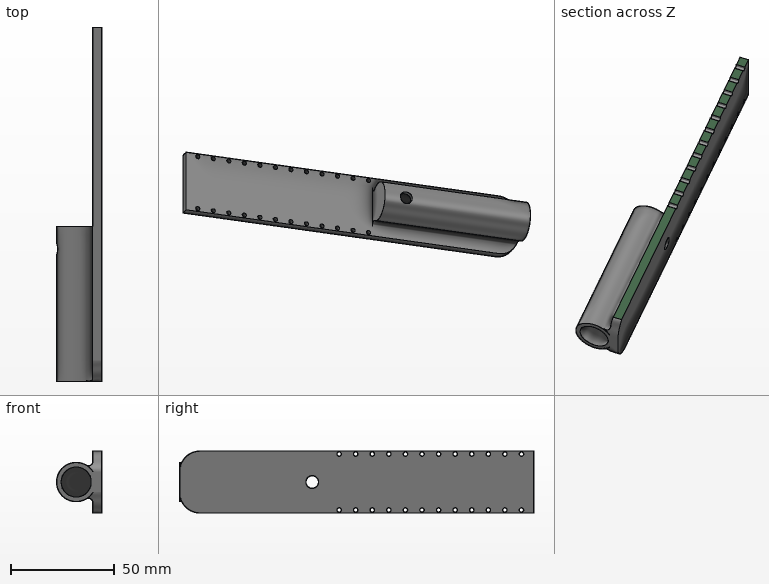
import cadquery as cq
import math

plate_length = 170.98
plate_height = 30.0
plate_thickness = 4.5
corner_radius = 10.0

overall_width = 21.93
tube_radius = 9.5
tube_length = 75.0
bore_radius = 7.25
end_wall = 2.0
bore_depth = tube_length - end_wall

web_fillet_radius = 2.0

cross_hole_diameter = 6.0
cross_hole_to_closed_end = 11.0
cross_hole_y = tube_length - cross_hole_to_closed_end

small_hole_diameter = 2.0
small_hole_pitch = 8.0
small_hole_count = 12
small_hole_end_margin = 6.0
small_hole_row_z = 13.5

plate_back_x = overall_width - tube_radius
plate_face_x = plate_back_x - plate_thickness


def cylinder_along_y(radius, length):
    """Solid cylinder on the tube axis, from Y = 0 to Y = length."""
    return cq.Workplane("XZ").circle(radius).extrude(-length)


def box(x_min, x_max, length, height):
    """Box starting at Y = 0 and centred on Z = 0."""
    start = cq.Workplane("XY", origin=(x_min, 0, 0))
    return start.box(x_max - x_min, length, height, centered=(False, False, True))


def make_web():
    """Web whose concave fillets are tangent to the tube and to the plate face."""
    center_x = plate_face_x - web_fillet_radius
    center_distance = tube_radius + web_fillet_radius
    center_z = math.sqrt(center_distance**2 - center_x**2)
    tube_tangent_x = center_x * tube_radius / center_distance
    tube_tangent_z = center_z * tube_radius / center_distance

    tube_angle = math.atan2(-center_z, -center_x)
    middle_angle = tube_angle / 2
    middle_x = center_x + web_fillet_radius * math.cos(middle_angle)
    middle_z = center_z + web_fillet_radius * math.sin(middle_angle)

    return (
        cq.Workplane("XZ")
        .moveTo(tube_tangent_x, -tube_tangent_z)
        .lineTo(tube_tangent_x, tube_tangent_z)
        .threePointArc((middle_x, middle_z), (plate_face_x, center_z))
        .lineTo(plate_face_x, -center_z)
        .threePointArc((middle_x, -middle_z), (tube_tangent_x, -tube_tangent_z))
        .close()
        .extrude(-tube_length)
    )


def make_plate_and_web():
    """Plate and web, both trimmed by the rounded corners at Y = 0."""
    plate = box(plate_face_x, plate_back_x, plate_length, plate_height)
    rounded_outline = box(0, plate_back_x, plate_length, plate_height)
    rounded_outline = rounded_outline.edges("|X and <Y").fillet(corner_radius)
    return plate.union(make_web()).intersect(rounded_outline)


def holes_along_x(diameter, points):
    """Cutters across the full width of the part at the given (Y, Z) points."""
    return (
        cq.Workplane("YZ", origin=(-tube_radius, 0, 0))
        .pushPoints(points)
        .circle(diameter / 2)
        .extrude(overall_width)
    )


def small_hole_points():
    """Centres of both rows, counted from the free end of the plate."""
    first_y = plate_length - small_hole_end_margin
    return [
        (first_y - index * small_hole_pitch, side * small_hole_row_z)
        for index in range(small_hole_count)
        for side in (-1, 1)
    ]


body = make_plate_and_web().union(cylinder_along_y(tube_radius, tube_length))
body = body.cut(cylinder_along_y(bore_radius, bore_depth))
body = body.cut(holes_along_x(cross_hole_diameter, [(cross_hole_y, 0)]))
result = body.cut(holes_along_x(small_hole_diameter, small_hole_points()))